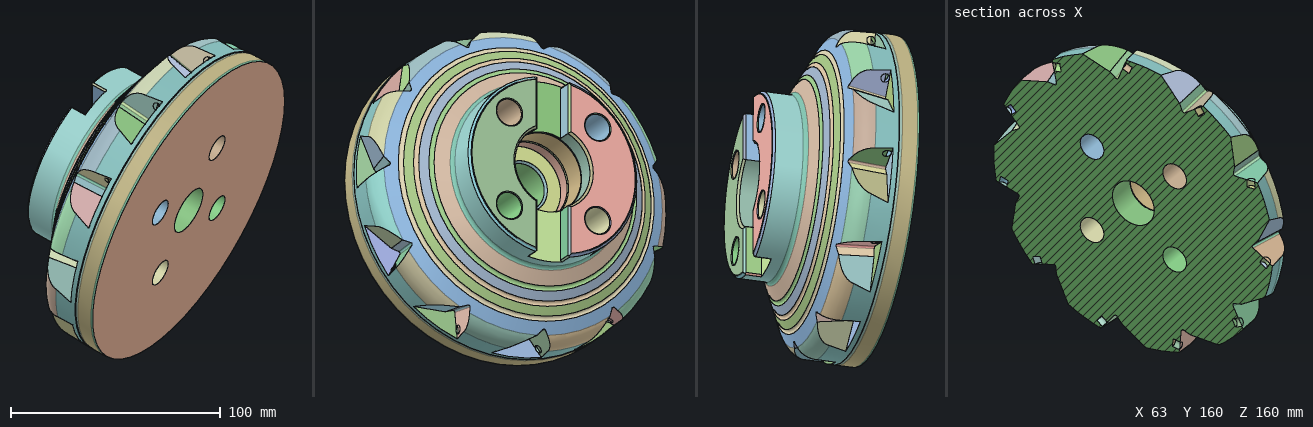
import cadquery as cq
import math

length = 63.0
rim_radius = 80.0
hub_radius = 45.1
hub_chamfer = 1.3
hub_edge_break = 0.2
hub_fillet_start = 15.0
cone_start = (17.2, 46.6)
cone_end = (32.1, 74.4)
shoulder_start_x = 41.5
shoulder_radius = 79.6
shoulder_end_x = 52.9
rim_groove_x = 53.2
rim_groove_radius = 79.7
rim_start_x = 54.5
rim_chamfer_length = 0.95
rim_chamfer_depth = 0.2

ring_groove_radii = (54.4, 60.85, 67.25)
ring_groove_width = 2.5
ring_groove_depth = 0.6

bore_radius = 20.0
bore_depth = 32.0
relief_start = 10.6
relief_end = 24.5
relief_radius = 20.4
relief_runout = 0.7
bore_chamfer = 1.2
through_radius = 11.8
through_chamfer = 1.1
slot_width = 16.4
slot_depth = 9.0
slot_chamfer = 1.2
slot_corner_chamfer = 1.0
bolt_hole_radius = 6.6
bolt_hole_chamfer = 0.45
bolt_circle_radius = 66.7 / 2
bolt_count = 4

pocket_count = 11
pocket_back_x = 50.3
pocket_run = 32.0
pocket_tilt = 12.0
pocket_root_fillet = 0.9
pocket_root = (0.5, 67.0)
pocket_heel = (-3.3, 70.6)
seat_angle = 60.0
relief_angle = 155.4
flank_length = 26.0

screw_radius = 2.1
screw_depth = 4.0
screw_x = 48.3
screw_height = 10.0

cone_angle = math.atan2(cone_end[1] - cone_start[1], cone_end[0] - cone_start[0])


def cone_point(radius):
    """Point on the cone line at the given radius."""
    return (cone_start[0] + (radius - cone_start[1]) / math.tan(cone_angle), radius)


def along(point, angle, distance):
    """Point reached from another by going a distance at an angle in degrees."""
    return (
        point[0] + distance * math.cos(math.radians(angle)),
        point[1] + distance * math.sin(math.radians(angle)),
    )


def make_body():
    """Solid of revolution: hub, grooved cone, rounded shoulder and rim."""
    half_rise = ring_groove_width / 2 * math.sin(cone_angle)
    profile = (
        cq.Workplane("XY")
        .moveTo(0, 0)
        .lineTo(0, hub_radius - hub_chamfer - hub_edge_break)
        .lineTo(hub_edge_break, hub_radius - hub_chamfer + hub_edge_break)
        .lineTo(hub_chamfer, hub_radius)
        .lineTo(hub_fillet_start, hub_radius)
        .tangentArcPoint(cone_start, relative=False)
    )
    for radius in ring_groove_radii:
        middle = cone_point(radius)
        bottom = (
            middle[0] + ring_groove_depth * math.sin(cone_angle),
            middle[1] - ring_groove_depth * math.cos(cone_angle),
        )
        profile = profile.lineTo(*cone_point(radius - half_rise))
        profile = profile.threePointArc(bottom, cone_point(radius + half_rise))
    profile = (
        profile.lineTo(*cone_end)
        .tangentArcPoint((shoulder_start_x, shoulder_radius), relative=False)
        .lineTo(shoulder_end_x, rim_radius)
        .lineTo(rim_groove_x, rim_groove_radius)
        .lineTo(rim_start_x, rim_radius)
        .lineTo(length - rim_chamfer_length, rim_radius)
        .lineTo(length, rim_radius - rim_chamfer_depth)
        .lineTo(length, 0)
        .close()
    )
    return profile.revolve(360, (0, 0, 0), (1, 0, 0))


def make_bore():
    """Stepped central bore with chamfered mouths."""
    return (
        cq.Workplane("XY")
        .moveTo(0, 0)
        .lineTo(0, bore_radius + bore_chamfer)
        .lineTo(bore_chamfer, bore_radius)
        .lineTo(relief_start, bore_radius)
        .lineTo(relief_start, relief_radius)
        .lineTo(relief_end, relief_radius)
        .lineTo(relief_end + relief_runout, bore_radius)
        .lineTo(bore_depth, bore_radius)
        .lineTo(bore_depth, through_radius + through_chamfer)
        .lineTo(bore_depth + through_chamfer, through_radius)
        .lineTo(length, through_radius)
        .lineTo(length, 0)
        .close()
        .revolve(360, (0, 0, 0), (1, 0, 0))
    )


def make_slot():
    """Drive slot across the hub face along Z, with chamfered edges."""
    half = slot_width / 2
    return (
        cq.Workplane("XY")
        .moveTo(0, -half - slot_chamfer)
        .lineTo(slot_chamfer, -half)
        .lineTo(slot_depth, -half)
        .lineTo(slot_depth, half)
        .lineTo(slot_chamfer, half)
        .lineTo(0, half + slot_chamfer)
        .close()
        .extrude(rim_radius, both=True)
    )


def make_slot_corner_chamfers():
    """Wedges that break the corners where the slot walls meet the hub rim."""
    half = slot_width / 2
    corner_z = math.sqrt(hub_radius**2 - half**2)
    wedge = (
        cq.Workplane("YZ")
        .moveTo(half, corner_z - slot_corner_chamfer)
        .lineTo(half + 2 * slot_corner_chamfer, corner_z + slot_corner_chamfer)
        .lineTo(half, corner_z + slot_corner_chamfer)
        .close()
        .extrude(slot_depth)
    )
    upper_pair = wedge.union(wedge.mirror("XZ"))
    return upper_pair.union(upper_pair.mirror("XY"))


def make_bolt_holes():
    """Chamfered through holes, set midway between the slot and its normal."""
    hole = (
        cq.Workplane("XY")
        .moveTo(0, 0)
        .lineTo(0, bolt_hole_radius + bolt_hole_chamfer)
        .lineTo(bolt_hole_chamfer, bolt_hole_radius)
        .lineTo(length, bolt_hole_radius)
        .lineTo(length, 0)
        .close()
        .revolve(360, (0, 0, 0), (1, 0, 0))
    )
    first = hole.translate((0, bolt_circle_radius, 0))
    holes = cq.Workplane("XY")
    for index in range(bolt_count):
        angle = (index + 0.5) * 360 / bolt_count
        holes = holes.add(first.rotate((0, 0, 0), (1, 0, 0), angle))
    return holes.combine()


def make_pocket():
    """V-shaped chip pocket at the -Y side, running out towards the hub."""
    outline = [
        pocket_root,
        along(pocket_root, seat_angle, flank_length),
        along(pocket_heel, relief_angle, flank_length),
        pocket_heel,
    ]
    corners = [cq.Vector(pocket_back_x, -radial, side) for side, radial in outline]
    wire = cq.Wire.makePolygon(corners, close=True)
    root = min(wire.Vertices(), key=lambda vertex: (vertex.Center() - corners[0]).Length)
    wire = wire.fillet2D(pocket_root_fillet, [root])
    rise = pocket_run * math.tan(math.radians(pocket_tilt))
    direction = cq.Vector(-pocket_run, -rise, 0)
    return cq.Solid.extrudeLinear(wire, [], direction)


def make_screw_hole():
    """Blind hole square to the seat flank, for the pocket at the -Y side."""
    tilt_rise = (pocket_back_x - screw_x) * math.tan(math.radians(pocket_tilt))
    side, radial = along(pocket_root, seat_angle, screw_height)
    centre = cq.Vector(screw_x, -radial - tilt_rise, side)
    into_flank = cq.Vector(0, math.cos(math.radians(seat_angle)), math.sin(math.radians(seat_angle)))
    return cq.Solid.makeCylinder(screw_radius, screw_depth, centre, into_flank)


def cut_pockets(body):
    """Cut the ring of chip pockets; one of them is centred on the +Y side."""
    pocket = cq.Workplane(obj=make_pocket()).union(cq.Workplane(obj=make_screw_hole()))
    for index in range(pocket_count):
        angle = 180 + index * 360 / pocket_count
        body = body.cut(pocket.rotate((0, 0, 0), (1, 0, 0), angle))
    return body


result = make_body().cut(make_bore()).cut(make_bolt_holes())
result = result.cut(make_slot()).cut(make_slot_corner_chamfers())
result = cut_pockets(result)